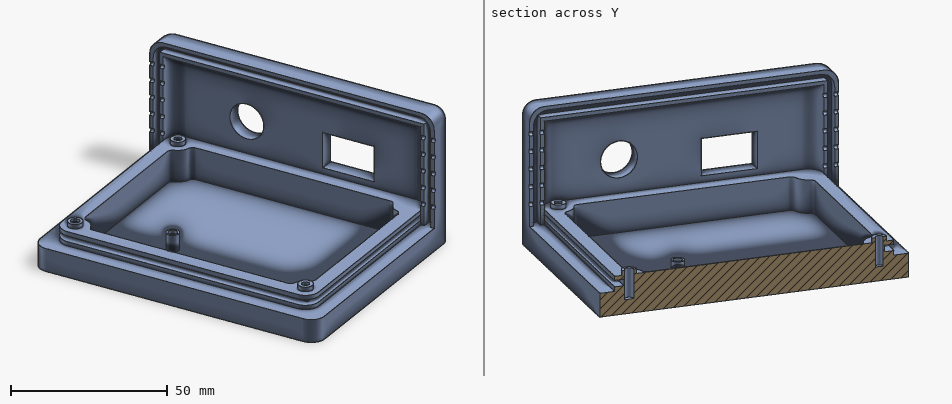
import cadquery as cq

length = 105.0
width = 85.0
height = 48.5
wall = 5.0
corner_radius = 5.0

base_height = 8.25
back_wall_depth = 10.73

lip_top = 13.4
lip_tier = 1.55
lip_groove_depth = 3.1

cavity_offset = 2 * wall
floor_thickness = 2.0
boss_radius = 5.0
boss_fillet = 2.0

collar_diameter = 5.0
collar_height = 1.6
wide_collar_hole = 3.0
narrow_collar_hole = 2.5
collar_hole_depth = 10.0

standoff_diameter = 4.4
standoff_hole = 3.0
standoff_height = 6.0
standoff_x = -18.4
standoff_ys = (-28.4, -12.1)

seal_offset = 1.3
seal_width = 2.4
seal_depth = 3.1
notch_count = 5
notch_diameter = 1.4
notch_pitch = 6.0
first_notch_z = 15.8

round_opening_diameter = 12.5
round_opening_x = -20.0
round_opening_z = 24.9
window_length = 19.0
window_height = 12.7
window_x = 17.5
window_z = 22.0

back_y = width / 2
front_y = -width / 2
split_y = back_y - back_wall_depth
boss_x = length / 2 - cavity_offset
boss_y = width / 2 - cavity_offset


def block(x_min, x_max, y_min, y_max, z_min, z_max):
    """Axis-aligned box given by its limits."""
    size = (x_max - x_min, y_max - y_min, z_max - z_min)
    return cq.Workplane("XY").box(*size, centered=False).translate((x_min, y_min, z_min))


def inset_prism(inset, z_min, z_max):
    """Upright prism of the enclosure footprint moved inwards by inset."""
    half_x = length / 2 - inset
    half_y = width / 2 - inset
    return block(-half_x, half_x, -half_y, half_y, z_min, z_max)


def make_shell():
    """Rounded block cut down to a base plate and a hollow back wall."""
    shell = inset_prism(0, 0, height).edges("|Z or >Z").fillet(corner_radius)
    open_space = block(-length, length, 2 * front_y, split_y, base_height, 2 * height)
    hollow = inset_prism(wall, base_height, height - wall).edges("|Z").fillet(corner_radius)
    return shell.cut(open_space).cut(hollow)


def make_lip():
    """Lip with a groove along its front and both sides."""
    lip = inset_prism(wall, base_height, lip_top).edges("|Z").fillet(corner_radius)
    groove_bottom = base_height + lip_tier
    groove_top = lip_top - lip_tier
    ring = block(-length, length, 2 * front_y, back_y, groove_bottom, groove_top)
    core_x = length / 2 - wall - lip_groove_depth
    core_y = front_y + wall + lip_groove_depth
    core = block(-core_x, core_x, core_y, back_y, groove_bottom, groove_top)
    return lip.cut(ring.cut(core))


def make_cavity():
    """Pocket whose corners wrap around the round bosses."""
    pocket = inset_prism(cavity_offset, floor_thickness, lip_top)
    bosses = (
        cq.Workplane("XY", origin=(0, 0, floor_thickness))
        .rect(2 * boss_x, 2 * boss_y, forConstruction=True)
        .vertices()
        .circle(boss_radius)
        .extrude(lip_top - floor_thickness)
    )
    return pocket.cut(bosses).edges("|Z").fillet(boss_fillet)


def cylinder(x, y, z_min, z_max, diameter):
    """Upright cylinder between two heights."""
    return cq.Workplane("XY", origin=(x, y, z_min)).circle(diameter / 2).extrude(z_max - z_min)


def add_collar(body, x, y, hole_diameter):
    """Collar on top of the lip with a blind hole down its centre."""
    top = lip_top + collar_height
    body = body.union(cylinder(x, y, lip_top, top, collar_diameter))
    return body.cut(cylinder(x, y, top - collar_hole_depth, top, hole_diameter))


def add_standoff(body, y):
    """Hollow post rising from the cavity floor."""
    top = floor_thickness + standoff_height
    body = body.union(cylinder(standoff_x, y, floor_thickness, top, standoff_diameter))
    return body.cut(cylinder(standoff_x, y, floor_thickness, top, standoff_hole))


def make_seal_groove():
    """Inverted U channel in the front face of the back wall."""
    inner_offset = seal_offset + seal_width
    outer_x = length / 2 - seal_offset
    inner_x = length / 2 - inner_offset
    y_end = split_y + seal_depth
    outer = block(-outer_x, outer_x, split_y, y_end, base_height, height - seal_offset)
    outer = outer.edges("|Y and >Z").fillet(corner_radius)
    inner = block(-inner_x, inner_x, split_y, y_end, base_height, height - inner_offset)
    return outer.cut(inner)


def cut_notches(body):
    """Row of half-round notches across both side rims of the back wall."""
    for index in range(notch_count):
        z = first_notch_z + index * notch_pitch
        notch = (
            cq.Workplane("YZ", origin=(-length / 2, split_y, z))
            .circle(notch_diameter / 2)
            .extrude(length)
        )
        body = body.cut(notch)
    return body


def cut_openings(body):
    """Round and rectangular openings through the back wall."""
    hole = (
        cq.Workplane("XZ", origin=(round_opening_x, back_y, round_opening_z))
        .circle(round_opening_diameter / 2)
        .extrude(wall)
    )
    window = (
        cq.Workplane("XZ", origin=(window_x, back_y, window_z))
        .rect(window_length, window_height)
        .extrude(wall)
    )
    return body.cut(hole).cut(window)


shell = cut_notches(make_shell().cut(make_seal_groove()))
body = cut_openings(shell).union(make_lip()).cut(make_cavity())

body = add_collar(body, -boss_x, -boss_y, wide_collar_hole)
body = add_collar(body, boss_x, -boss_y, narrow_collar_hole)
body = add_collar(body, -boss_x, boss_y, narrow_collar_hole)

for standoff_y in standoff_ys:
    body = add_standoff(body, standoff_y)

result = body